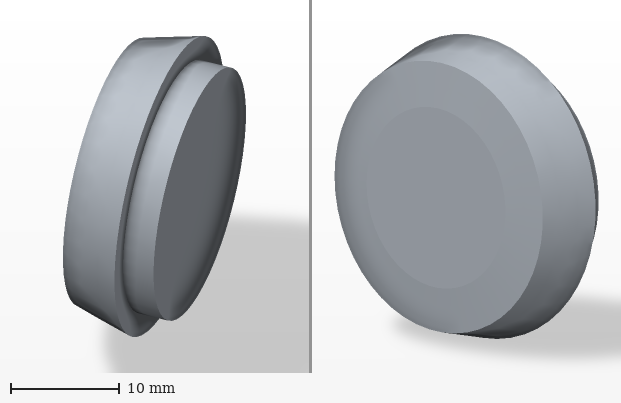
import cadquery as cq

total_length = 9.0
collar_length = 3.0
face_cone_depth = 0.37
rim_diameter = 28.5
collar_diameter = 24.0
face_edge_diameter = 25.48
flat_diameter = 17.0

face_edge_x = face_cone_depth
rim_x = total_length - collar_length

half_section = (
    cq.Workplane("XY")
    .moveTo(0, 0)
    .lineTo(0, flat_diameter / 2)
    .lineTo(face_edge_x, face_edge_diameter / 2)
    .lineTo(rim_x, rim_diameter / 2)
    .lineTo(rim_x, collar_diameter / 2)
    .lineTo(total_length, collar_diameter / 2)
    .lineTo(total_length, 0)
    .close()
)

result = half_section.revolve(360, (0, 0, 0), (1, 0, 0))